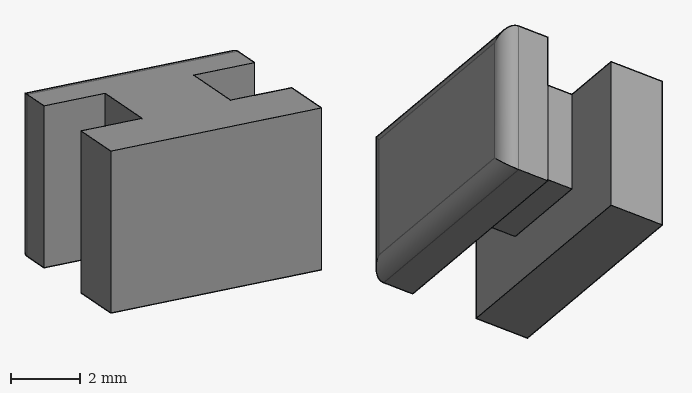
import cadquery as cq

length_x = 5.48
width_y = 6.9
height_z = 5.01

front_plate_thickness = 1.505
back_plate_thickness = 1.78
web_width = 2.9
web_height = 3.3
edge_radius = 0.5

web_length = length_x - front_plate_thickness - back_plate_thickness


def block(x_start, z_start, size_x, size_y, size_z):
    """Box centred on Y, starting at the given X and Z."""
    return (
        cq.Workplane("XY")
        .box(size_x, size_y, size_z, centered=(False, True, False))
        .translate((x_start, 0, z_start))
    )


front_plate = block(0, 0, front_plate_thickness, width_y, height_z)
front_plate = front_plate.faces("<X").edges().fillet(edge_radius)

back_plate_start = front_plate_thickness + web_length
back_plate = block(back_plate_start, 0, back_plate_thickness, width_y, height_z)

web_bottom = height_z - web_height
web = block(front_plate_thickness, web_bottom, web_length, web_width, web_height)

result = front_plate.union(web).union(back_plate).clean()